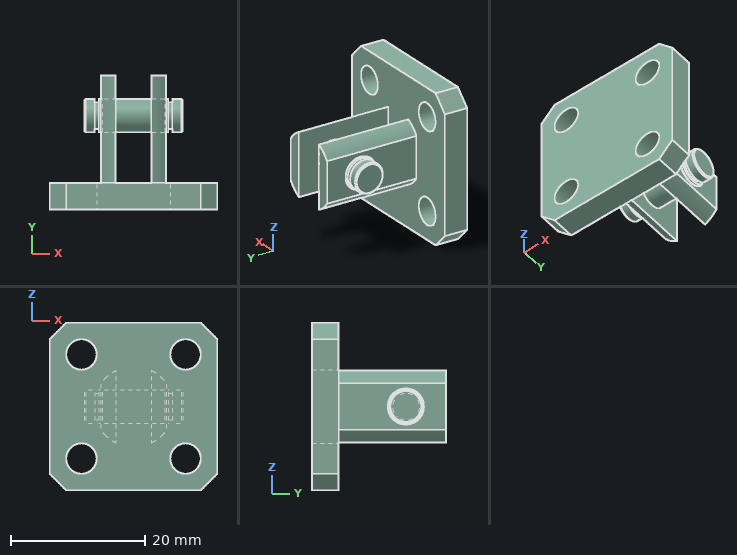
import cadquery as cq

plate_size = 25.0
plate_thickness = 4.0
corner_chamfer = 2.5
bolt_pitch = 15.5
bolt_hole_diameter = 4.5

lug_bar_diameter = 12.0
lug_outer_width = 9.75
lug_gap = 5.35
overall_depth = 20.0

pin_diameter = 5.0
pin_length = 14.6
pin_chamfer = 0.2
pin_distance = 14.0
groove_diameter = 4.0
groove_width = 0.6
groove_inner_spacing = 10.35
pin_hole_chamfer = 0.2

lug_length = overall_depth - plate_thickness


def cylinder_along_x(diameter, start, length):
    """Solid round bar on the pin axis from X = start."""
    return cq.Workplane("YZ", origin=(start, pin_distance, 0)).circle(diameter / 2).extrude(length)


def make_plate():
    """Square plate with chamfered corners and four bolt holes."""
    square = cq.Workplane("XZ").rect(plate_size, plate_size).extrude(-plate_thickness)
    plate = square.edges("|Y").chamfer(corner_chamfer)
    holes = (
        cq.Workplane("XZ")
        .rect(bolt_pitch, bolt_pitch, forConstruction=True)
        .vertices()
        .circle(bolt_hole_diameter / 2)
        .extrude(-plate_thickness)
    )
    return plate.cut(holes)


def make_lugs():
    """Round bar with two side flats, split by a central slot."""
    bar = (
        cq.Workplane("XZ", origin=(0, plate_thickness, 0))
        .circle(lug_bar_diameter / 2)
        .extrude(-lug_length)
    )
    lug_centre = plate_thickness + lug_length / 2
    envelope = cq.Workplane().box(lug_outer_width, lug_length, lug_bar_diameter)
    slot = cq.Workplane().box(lug_gap, lug_length, lug_bar_diameter)
    sides = envelope.cut(slot).translate((0, lug_centre, 0))
    return bar.intersect(sides)


def make_pin_hole():
    """Pin bore with a countersink at each outer lug face."""
    half_width = lug_outer_width / 2
    bore = cylinder_along_x(pin_diameter, -half_width, lug_outer_width)
    countersink = (
        cq.Workplane("YZ", origin=(half_width, pin_distance, 0))
        .circle(pin_diameter / 2 + pin_hole_chamfer)
        .workplane(offset=-pin_hole_chamfer)
        .circle(pin_diameter / 2)
        .loft()
    )
    return bore.union(countersink).union(countersink.mirror("YZ"))


def make_clevis():
    """Plate and lugs as one body."""
    return make_plate().union(make_lugs()).cut(make_pin_hole())


def make_pin():
    """Chamfered pin with a retaining-ring groove near each end."""
    pin = cylinder_along_x(pin_diameter, -pin_length / 2, pin_length)
    pin = pin.faces("<X or >X").chamfer(pin_chamfer)
    for groove_start in (-groove_inner_spacing / 2 - groove_width, groove_inner_spacing / 2):
        ring = cylinder_along_x(pin_diameter, groove_start, groove_width)
        core = cylinder_along_x(groove_diameter, groove_start, groove_width)
        pin = pin.cut(ring.cut(core))
    return pin


clevis = make_clevis()
pin = make_pin()
result = cq.Compound.makeCompound([clevis.val(), pin.val()])